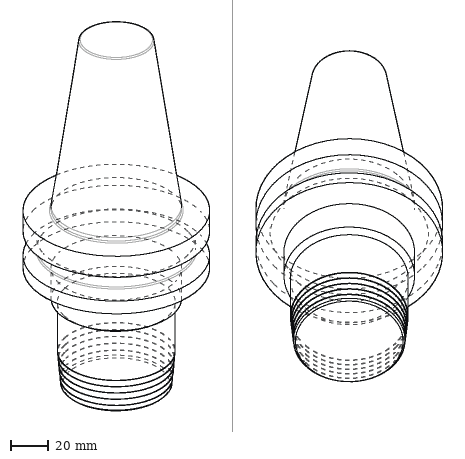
import cadquery as cq

total_length = 211.8
flange_diameter = 100.0
gauge_diameter = 69.9

taper_ratio = 7 / 24
gauge_height = 110.0
small_end_rounding = 0.8
taper_length = total_length - gauge_height
small_end_diameter = gauge_diameter - taper_ratio * taper_length

flange_bottom = 71.5
flange_top = 107.0
groove_bottom = 79.5
groove_top = 94.0
groove_floor_diameter = 85.0
groove_floor_bottom = 83.2
groove_floor_top = groove_bottom + groove_top - groove_floor_bottom
groove_corner_radius = 1.0
flange_root_radius = 0.8

shoulder_bottom = 50.5
shoulder_top = 52.7
body_diameter = 63.1

nose_height = 20.1
band_count = 5
band_height = nose_height / band_count
smallest_band_radius = 29.9
band_step = 0.34
nose_chamfer = 1.0


def circles_at(solid, height, radius):
    """Select the circular edges at the given height and radius."""
    tolerance = 0.02
    return solid.edges("%CIRCLE").filter(
        lambda edge: abs(edge.Center().z - height) < tolerance and abs(edge.radius() - radius) < tolerance
    )


band_points = []
for index in range(band_count):
    band_radius = smallest_band_radius + index * band_step
    band_bottom = index * band_height if index else nose_chamfer
    band_points.append((band_radius, band_bottom))
    band_points.append((band_radius, (index + 1) * band_height))

flange_radius = flange_diameter / 2
gauge_radius = gauge_diameter / 2
body_radius = body_diameter / 2
small_end_radius = small_end_diameter / 2
groove_floor_radius = groove_floor_diameter / 2

outline = [
    (0, 0),
    (smallest_band_radius - nose_chamfer, 0),
    *band_points,
    (body_radius, nose_height),
    (body_radius, shoulder_bottom),
    (gauge_radius, shoulder_top),
    (gauge_radius, flange_bottom),
    (flange_radius, flange_bottom),
    (flange_radius, groove_bottom),
    (groove_floor_radius, groove_floor_bottom),
    (groove_floor_radius, groove_floor_top),
    (flange_radius, groove_top),
    (flange_radius, flange_top),
    (gauge_radius, flange_top),
    (gauge_radius, gauge_height),
    (small_end_radius, total_length),
    (0, total_length),
]

result = cq.Workplane("XZ").polyline(outline).close().revolve(360, (0, 0, 0), (0, 1, 0))

for height in (groove_floor_bottom, groove_floor_top):
    result = circles_at(result, height, groove_floor_radius).fillet(groove_corner_radius)
result = circles_at(result, flange_top, gauge_radius).fillet(flange_root_radius)
result = circles_at(result, total_length, small_end_radius).fillet(small_end_rounding)